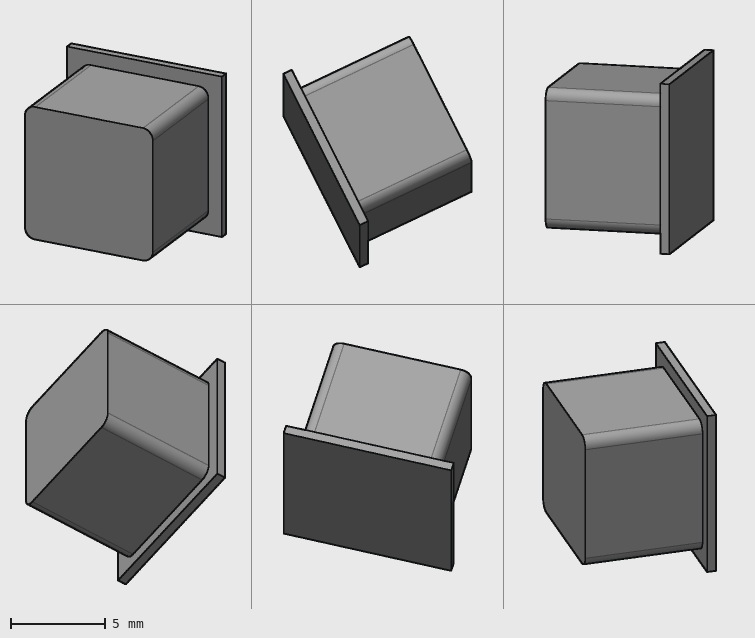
import cadquery as cq

flange_side = 9.2
flange_thickness = 0.5
total_depth = 7.0
body_side = 7.6
corner_radius = 0.6

body_depth = total_depth - flange_thickness


def make_flange():
    """Thin square plate at the back, from Y = 0 toward +Y."""
    return cq.Workplane("XY").box(
        flange_side, flange_thickness, flange_side, centered=(True, False, True)
    )


def make_body():
    """Square block from Y = 0 toward -Y, with its four long edges rounded."""
    block = cq.Workplane("XZ").rect(body_side, body_side).extrude(body_depth)
    return block.edges("|Y").fillet(corner_radius)


result = make_flange().union(make_body())